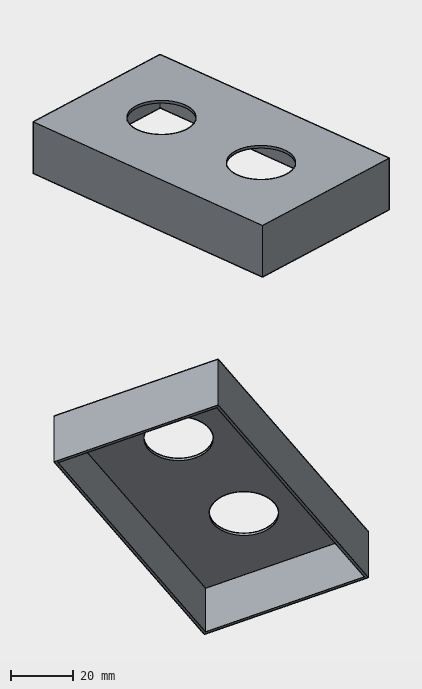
import cadquery as cq

length = 100.0
width = 60.0
height = 19.0
top_thickness = 1.0
wall_thickness = 1.0
hole_diameter = 22.2
hole_spacing = 43.4

block = cq.Workplane("XY").box(length, width, height, centered=(True, True, False))

cavity = cq.Workplane("XY").box(
    length - 2 * wall_thickness,
    width - 2 * wall_thickness,
    height - top_thickness,
    centered=(True, True, False),
)

holes = (
    cq.Workplane("XY")
    .pushPoints([(-hole_spacing / 2, 0), (hole_spacing / 2, 0)])
    .circle(hole_diameter / 2)
    .extrude(height)
)

result = block.cut(cavity).cut(holes)